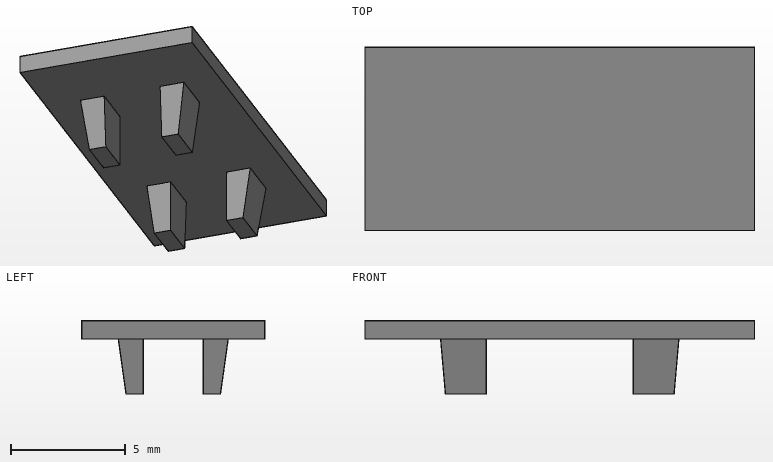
import cadquery as cq
import math

plate_length = 17.0
plate_width = 8.0
plate_thickness = 0.8

overall_height = 3.2
leg_height = overall_height - plate_thickness
leg_inner_x = 3.2
leg_inner_y = 1.3
leg_root_outer_x = 5.2
leg_root_outer_y = 2.4
leg_draft_x = 5.0
leg_draft_y = 8.0
leg_tip_outer_x = leg_root_outer_x - leg_height * math.tan(math.radians(leg_draft_x))
leg_tip_outer_y = leg_root_outer_y - leg_height * math.tan(math.radians(leg_draft_y))


def make_plate():
    """Flat plate with its underside on Z = 0."""
    return cq.Workplane("XY").box(
        plate_length, plate_width, plate_thickness, centered=(True, True, False)
    )


def make_leg():
    """Leg in the +X, +Y quadrant, lofted from its root on the plate to its tip."""
    inner_corner = (leg_inner_x, leg_inner_y)
    root_size = (leg_root_outer_x - leg_inner_x, leg_root_outer_y - leg_inner_y)
    tip_size = (leg_tip_outer_x - leg_inner_x, leg_tip_outer_y - leg_inner_y)
    return (
        cq.Workplane("XY")
        .moveTo(*inner_corner)
        .rect(*root_size, centered=False)
        .workplane(offset=-leg_height)
        .moveTo(*inner_corner)
        .rect(*tip_size, centered=False)
        .loft(ruled=True)
    )


leg = make_leg()
leg_pair = leg.union(leg.mirror("YZ"))
legs = leg_pair.union(leg_pair.mirror("XZ"))

result = make_plate().union(legs)